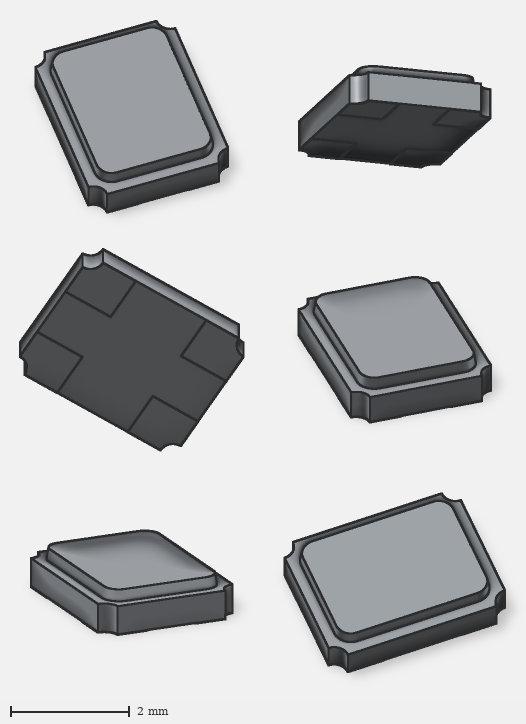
import cadquery as cq

length = 3.2
width = 2.5
base_height = 0.5
corner_notch_radius = 0.25

lid_inset = 0.2
lid_height = 0.2
lid_corner_radius = 0.3
lid_draft = 10.0

pad_length = 0.9
pad_width = 0.8
pad_thickness = 0.01

total_height = pad_thickness + base_height + lid_height
base_bottom = pad_thickness - total_height / 2
base_top = base_bottom + base_height
pad_bottom = base_bottom - pad_thickness


def make_corner_cutters():
    """Vertical cylinders on the four package corners, over the full height."""
    return (
        cq.Workplane("XY", origin=(0, 0, pad_bottom))
        .rect(length, width, forConstruction=True)
        .vertices()
        .circle(corner_notch_radius)
        .extrude(total_height)
    )


def make_housing():
    """Rectangular base with notched corners and a tapered, rounded lid section."""
    base = cq.Workplane("XY", origin=(0, 0, base_bottom)).rect(length, width).extrude(base_height)
    base = base.cut(make_corner_cutters())
    lid_outline = (
        cq.Sketch()
        .rect(length - 2 * lid_inset, width - 2 * lid_inset)
        .vertices()
        .fillet(lid_corner_radius)
    )
    lid = (
        cq.Workplane("XY", origin=(0, 0, base_top))
        .placeSketch(lid_outline)
        .extrude(lid_height, taper=lid_draft)
    )
    return base.union(lid)


def make_pad(x_side, y_side):
    """Thin pad flush with one package corner and sharing its notch."""
    center_x = x_side * (length - pad_length) / 2
    center_y = y_side * (width - pad_width) / 2
    pad = (
        cq.Workplane("XY", origin=(center_x, center_y, pad_bottom))
        .rect(pad_length, pad_width)
        .extrude(pad_thickness)
    )
    return pad.cut(make_corner_cutters())


housing = make_housing()
pads = [make_pad(x_side, y_side) for x_side in (-1, 1) for y_side in (-1, 1)]

result = cq.Compound.makeCompound([housing.val(), *[pad.val() for pad in pads]])